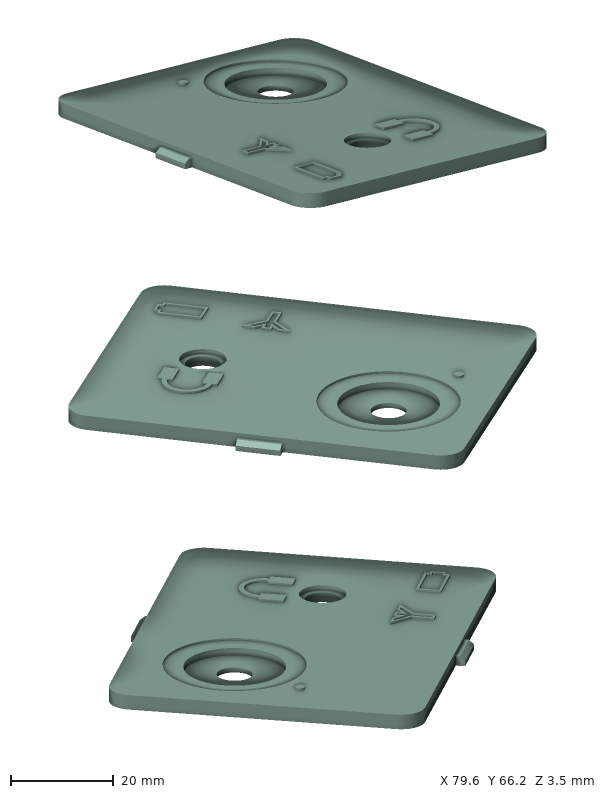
import cadquery as cq

plate_length = 79.6
overall_width = 66.2
overall_height = 3.5
relief_height = 0.5
plate_thickness = overall_height - relief_height
corner_radius = 4.8

tab_reach = 1.8
tab_length = 9.0
tab_height = 2.0
tab_chamfer_depth = 1.0
tab_chamfer_drop = 0.9
plate_width = overall_width - 2 * tab_reach

dial_x, dial_y = -19.9, 9.5
dial_outer_diameter = 28.0
dial_outer_depth = 0.5
dial_inner_diameter = 20.0
dial_inner_depth = 2.0
through_hole_diameter = 7.0

socket_x, socket_y = 20.05, 0.0
socket_recess_diameter = 9.2
socket_recess_depth = 1.0

dot_x, dot_y = -30.0, -5.5
dot_diameter = 2.0

outline_wall = 0.5

band_y = 11.55
band_outer_radius = 5.0
band_inner_radius = 4.0
pad_width = 3.0
pad_height = 5.0
pad_offset = (band_outer_radius + band_inner_radius) / 2

antenna_x = 11.6
antenna_top_y = -16.0
antenna_height = 7.95
mast_width = 2.0
arm_tip_offset = 4.9
arm_top_width = 2.6
arm_slope = 0.9

battery_x, battery_y = 30.0, -20.0
battery_length = 9.95
battery_height = 5.0
terminal_length = 0.95
terminal_height = 3.0


def snap_tab(side):
    """Tab on the long edge at side = +1 (+Y) or -1 (-Y), sloped at its upper outer edge."""
    tip = overall_width / 2
    profile = [
        (0, 0),
        (side * tip, 0),
        (side * tip, tab_height - tab_chamfer_drop),
        (side * (tip - tab_chamfer_depth), tab_height),
        (0, tab_height),
    ]
    return cq.Workplane("YZ").polyline(profile).close().extrude(tab_length / 2, both=True)


def rounded_plate():
    """Flat plate with rounded corners."""
    return (
        cq.Workplane("XY")
        .box(plate_length, plate_width, plate_thickness, centered=(True, True, False))
        .edges("|Z")
        .fillet(corner_radius)
    )


def pocket(x, y, diameter, depth):
    """Round cutter that sinks from the top face of the plate to the given depth."""
    return (
        cq.Workplane("XY", origin=(x, y, plate_thickness - depth))
        .circle(diameter / 2)
        .extrude(depth)
    )


def on_top(x, y):
    """Workplane on the top face of the plate with its origin at (x, y)."""
    return cq.Workplane("XY", origin=(x, y, plate_thickness))


def raised_outline(x, y, points):
    """Raised wall that follows the inside of a closed polygon placed at (x, y)."""
    outer = on_top(x, y).polyline(points).close()
    inner = on_top(x, y).polyline(points).close().offset2D(-outline_wall, "intersection")
    return outer.extrude(relief_height).cut(inner.extrude(relief_height))


def mirrored(right_half):
    """Closed symmetric polygon from the points of its right half, listed top to bottom."""
    return right_half + [(-x, y) for x, y in reversed(right_half)]


def headphones():
    """Half-ring band that ends on the top edges of the two ear pads."""
    band = (
        on_top(socket_x, band_y)
        .moveTo(-band_outer_radius, 0)
        .threePointArc((0, band_outer_radius), (band_outer_radius, 0))
        .lineTo(band_inner_radius, 0)
        .threePointArc((0, band_inner_radius), (-band_inner_radius, 0))
        .close()
        .extrude(relief_height)
    )
    pads = (
        on_top(socket_x, band_y - pad_height / 2)
        .pushPoints([(-pad_offset, 0), (pad_offset, 0)])
        .rect(pad_width, pad_height)
        .extrude(relief_height)
    )
    return band.union(pads)


def antenna():
    """Mast and two arms, all level at the top, with the origin at the top of the mast."""
    mast_edge = mast_width / 2
    arm_inner_offset = arm_tip_offset - arm_top_width
    right_half = [
        (mast_edge, 0),
        (mast_edge, -arm_slope * (arm_inner_offset - mast_edge)),
        (arm_inner_offset, 0),
        (arm_tip_offset, 0),
        (mast_edge, -arm_slope * (arm_tip_offset - mast_edge)),
        (mast_edge, -antenna_height),
    ]
    return raised_outline(antenna_x, antenna_top_y, mirrored(right_half))


def battery():
    """Body and terminal, with the origin in the middle of the whole length."""
    left = -battery_length / 2
    right = battery_length / 2
    shoulder = right - terminal_length
    upper_half = [
        (left, battery_height / 2),
        (shoulder, battery_height / 2),
        (shoulder, terminal_height / 2),
        (right, terminal_height / 2),
    ]
    lower_half = [(x, -y) for x, y in reversed(upper_half)]
    return raised_outline(battery_x, battery_y, upper_half + lower_half)


def index_dot():
    """Round raised dot beside the dial."""
    return on_top(dot_x, dot_y).circle(dot_diameter / 2).extrude(relief_height)


result = rounded_plate().union(snap_tab(1)).union(snap_tab(-1))

pockets = [
    pocket(dial_x, dial_y, dial_outer_diameter, dial_outer_depth),
    pocket(dial_x, dial_y, dial_inner_diameter, dial_inner_depth),
    pocket(dial_x, dial_y, through_hole_diameter, plate_thickness),
    pocket(socket_x, socket_y, socket_recess_diameter, socket_recess_depth),
    pocket(socket_x, socket_y, through_hole_diameter, plate_thickness),
]
for cutter in pockets:
    result = result.cut(cutter)

for symbol in (index_dot(), headphones(), antenna(), battery()):
    result = result.union(symbol)